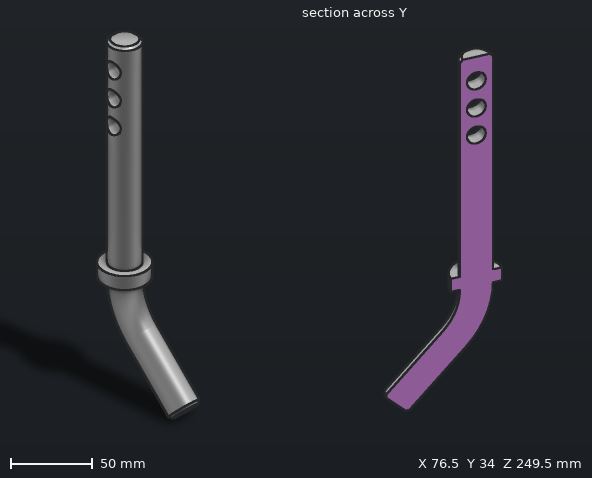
import cadquery as cq
import math

rod_diameter = 22.0
shank_length = 169.3
end_chamfer = 2.0

collar_diameter = 34.0
collar_thickness = 10.0

bend_radius = 50.0
bend_angle = 45.0
leg_length = 54.4

hole_diameter = 12.0
hole_count = 3
hole_pitch = 20.0
top_hole_depth = 18.0


def make_shank():
    """Straight vertical rod with a chamfered top end."""
    shank = cq.Workplane("XY").circle(rod_diameter / 2).extrude(shank_length)
    return shank.faces(">Z").chamfer(end_chamfer)


def make_collar():
    return cq.Workplane("XY").circle(collar_diameter / 2).extrude(collar_thickness)


def make_bend():
    """Elbow turning the rod from -Z toward +X."""
    return (
        cq.Workplane("XY")
        .circle(rod_diameter / 2)
        .revolve(bend_angle, (bend_radius, 0, 0), (bend_radius, -1, 0))
    )


def make_leg():
    """Straight leg that leaves the bend and ends in a chamfer."""
    angle = math.radians(bend_angle)
    start = (bend_radius * (1 - math.cos(angle)), 0, -bend_radius * math.sin(angle))
    direction = (math.sin(angle), 0, -math.cos(angle))
    leg_plane = cq.Plane(origin=start, xDir=(0, 1, 0), normal=direction)
    leg = cq.Workplane(leg_plane).circle(rod_diameter / 2).extrude(leg_length)
    return leg.faces(cq.selectors.DirectionMinMaxSelector(cq.Vector(*direction))).chamfer(end_chamfer)


def make_cross_holes():
    """Row of cutters through the upper shank."""
    top_hole_z = shank_length - top_hole_depth
    centers = [(0, top_hole_z - i * hole_pitch) for i in range(hole_count)]
    return (
        cq.Workplane("XZ")
        .pushPoints(centers)
        .circle(hole_diameter / 2)
        .extrude(rod_diameter, both=True)
    )


rod = make_shank().union(make_bend()).union(make_leg())
result = rod.union(make_collar()).cut(make_cross_holes())